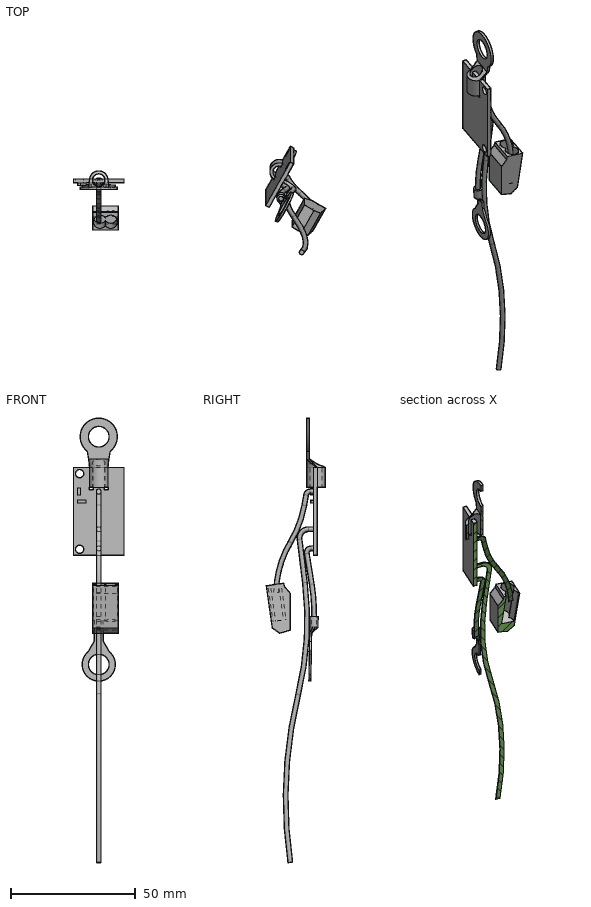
import cadquery as cq
import math


board_width = 20.3
board_thickness = 1.6
board_bottom = 123.1
board_height = 35.3
board_top = board_bottom + board_height
board_front = -board_thickness / 2
mount_hole_diameter = 3.2
mount_hole_inset = 2.5

component_height = 1.0
components = [
    (-7.8, 148.8, 1.2, 2.9),
    (-6.8, 144.7, 3.4, 1.2),
]

large_barrel_diameter = 7.5
large_barrel_bore = 5.0
large_barrel_length = 8.0
large_barrel_y = 0.27
large_plate_thickness = 1.0
large_ring_diameter = 15.0
large_ring_hole = 8.2
overall_height = 178.2
large_ring_z = overall_height - large_ring_diameter / 2
large_neck_width = 8.2
large_neck_flare_width = 9.3
large_neck_flare_rise = 3.0
large_transition_length = 3.4

tongue_width = 4.5
slot_depth = 8.9

wire_diameter = 2.0
connector_wire_z = 148.8
connector_wire_route = [(1.2, 0), (2.3, 80), (4.3, 0), (15.9, -21), (21.2, 30)]
long_wire_z = 133.6
long_wire_route = [(2.0, 0), (6.0, 97), (17.5, 0), (45.0, -20.8), (67.9, 22.2)]
terminal_wire_z = 126.0
terminal_wire_route = [(0.9, 0), (3.0, 99.2), (12.5, 0), (13.0, -10.2)]

small_barrel_diameter = 3.4
small_barrel_length = 4.3
small_plate_thickness = 0.9
small_ring_diameter = 13.4
small_ring_hole = 8.2
small_ring_drop = 15.0
small_neck_width = 3.7
small_neck_flare_width = 10.0
small_neck_length = 3.2
small_neck_flare_drop = 5.3
small_transition_length = 2.5

housing_width = 10.3
housing_x = 2.7
housing_front_top = (-19.69, 111.0)
housing_front_bottom = (-17.3, 94.0)
housing_outline = [
    (-12.3, 110.6),
    (-12.7, 112.0),
    housing_front_top,
    housing_front_bottom,
    (-14.3, 92.0),
    (-10.0, 93.2),
    (-10.0, 108.0),
]
pocket_diameter = 5.3
pocket_pitch = 4.3
pocket_depth = 14.6
pocket_mouth_y = -16.4
pocket_mouth_z = 111.5


def make_wire(start_z, route):
    """Sweep a round wire along its route; return the solid and the Y, Z and heading of its free end."""
    y = board_front
    z = start_z
    heading = math.pi
    path = cq.Workplane("YZ").moveTo(y, z)
    for length, turn_degrees in route:
        turn = math.radians(turn_degrees)
        middle_heading = heading + turn / 2
        chord = length
        if turn:
            chord = 2 * length / turn * math.sin(turn / 2)
        y_end = y + chord * math.cos(middle_heading)
        z_end = z + chord * math.sin(middle_heading)
        if turn:
            path = path.tangentArcPoint((y_end, z_end), relative=False)
        else:
            path = path.lineTo(y_end, z_end)
        y = y_end
        z = z_end
        heading += turn
    start_plane = cq.Plane(origin=(0, board_front, start_z), xDir=(1, 0, 0), normal=(0, -1, 0))
    wire = cq.Workplane(start_plane).circle(wire_diameter / 2).sweep(path)
    return wire, (y, z, heading)


def make_ring_terminal(
    barrel_diameter, barrel_bore, barrel_length, transition_length,
    plate_thickness, neck_profile, ring_distance, ring_diameter, ring_hole,
):
    """Ring terminal along +Z: barrel mouth end at Z = -barrel_length, ring above Z = 0.

    neck_profile lists (Z, width) pairs from the transition up into the ring.
    """
    barrel_radius = barrel_diameter / 2
    _, neck_width = neck_profile[0]
    barrel = cq.Workplane("XY").circle(barrel_radius).extrude(-barrel_length)
    plate_middle = plate_thickness / 2 - barrel_radius
    transition = (
        cq.Workplane("XY")
        .circle(barrel_radius)
        .workplane(offset=transition_length)
        .center(0, plate_middle)
        .rect(neck_width, plate_thickness)
        .loft(ruled=True)
    )
    bore = (
        cq.Workplane("XY", origin=(0, 0, -barrel_length))
        .circle(barrel_bore / 2)
        .extrude(barrel_length + transition_length)
    )

    right_edge = [(width / 2, z) for z, width in neck_profile]
    left_edge = [(-x, z) for x, z in reversed(right_edge)]
    plate_plane = cq.Workplane("XZ", origin=(0, plate_thickness - barrel_radius, 0))
    neck = plate_plane.polyline(right_edge + left_edge).close().extrude(plate_thickness)
    ring = plate_plane.center(0, ring_distance).circle(ring_diameter / 2).extrude(plate_thickness)
    hole = plate_plane.center(0, ring_distance).circle(ring_hole / 2).extrude(plate_thickness)
    plate = neck.union(ring).cut(hole)
    return barrel.union(transition).cut(bore).union(plate)


def make_large_terminal():
    ring_distance = large_ring_z - board_top
    neck_profile = [
        (large_transition_length, large_neck_width),
        (large_transition_length + large_neck_flare_rise, large_neck_flare_width),
    ]
    terminal = make_ring_terminal(
        large_barrel_diameter, large_barrel_bore, large_barrel_length, large_transition_length,
        large_plate_thickness, neck_profile, ring_distance, large_ring_diameter, large_ring_hole,
    )
    return terminal.translate((0, large_barrel_y, board_top))


def make_small_terminal(wire_end):
    """Small terminal hanging ring-down from the end of its wire, which fills the bore."""
    flare_start = small_transition_length + small_neck_length
    neck_profile = [
        (small_transition_length, small_neck_width),
        (flare_start, small_neck_width),
        (flare_start + small_neck_flare_drop, small_neck_flare_width),
    ]
    terminal = make_ring_terminal(
        small_barrel_diameter, wire_diameter, small_barrel_length, small_transition_length,
        small_plate_thickness, neck_profile, small_ring_drop, small_ring_diameter, small_ring_hole,
    )
    end_y, end_z, end_heading = wire_end
    half_turn = 180
    tilt = math.degrees(end_heading - math.pi / 2)
    back_to_front = terminal.rotate((0, 0, 0), (0, 0, 1), half_turn)
    hanging = back_to_front.rotate((0, 0, 0), (1, 0, 0), tilt)
    return hanging.translate((0, end_y, end_z))


def make_board():
    board = cq.Workplane("XY", origin=(0, 0, board_bottom + board_height / 2)).box(
        board_width, board_thickness, board_height
    )

    hole_x = mount_hole_inset - board_width / 2
    for hole_z in (board_bottom + mount_hole_inset, board_top - mount_hole_inset):
        hole = (
            cq.Workplane("XZ", origin=(hole_x, board_thickness / 2, hole_z))
            .circle(mount_hole_diameter / 2)
            .extrude(board_thickness)
        )
        board = board.cut(hole)

    slot_width = (large_barrel_diameter - tongue_width) / 2
    for side in (-1, 1):
        slot_x = side * (tongue_width + slot_width) / 2
        slot = cq.Workplane("XY", origin=(slot_x, 0, board_top - slot_depth / 2)).box(
            slot_width, board_thickness, slot_depth
        )
        board = board.cut(slot)

    for x, z, size_x, size_z in components:
        component = cq.Workplane("XY", origin=(x, board_front - component_height / 2, z)).box(
            size_x, component_height, size_z
        )
        board = board.union(component)
    return board


def make_housing():
    housing = (
        cq.Workplane("YZ", origin=(housing_x - housing_width / 2, 0, 0))
        .polyline(housing_outline)
        .close()
        .extrude(housing_width)
    )
    slope_y = housing_front_bottom[0] - housing_front_top[0]
    slope_z = housing_front_bottom[1] - housing_front_top[1]
    pocket_plane = cq.Plane(
        origin=(housing_x, pocket_mouth_y, pocket_mouth_z),
        xDir=(1, 0, 0),
        normal=(0, slope_y, slope_z),
    )
    for clearance_or_depth in (-pocket_diameter, pocket_depth):
        for centre_x in (-pocket_pitch / 2, pocket_pitch / 2):
            pocket = (
                cq.Workplane(pocket_plane)
                .center(centre_x, 0)
                .circle(pocket_diameter / 2)
                .extrude(clearance_or_depth)
            )
            housing = housing.cut(pocket)
    return housing


board = make_board()
large_terminal = make_large_terminal()
connector_wire, _ = make_wire(connector_wire_z, connector_wire_route)
long_wire, _ = make_wire(long_wire_z, long_wire_route)
crimped_route = terminal_wire_route + [(small_barrel_length, 0)]
terminal_wire, terminal_wire_end = make_wire(terminal_wire_z, crimped_route)
small_terminal = make_small_terminal(terminal_wire_end)
housing = make_housing()

result = cq.Compound.makeCompound(
    [
        board.val(),
        large_terminal.val(),
        connector_wire.val(),
        long_wire.val(),
        terminal_wire.val(),
        small_terminal.val(),
        housing.val(),
    ]
)